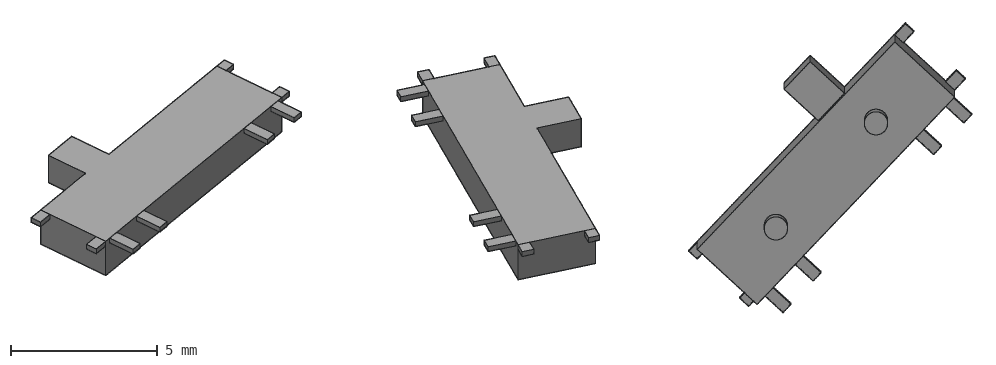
import cadquery as cq

overall_length = 10.8

housing_width = 2.8
housing_length = 9.85
housing_height = 1.5

knob_reach = 1.6
knob_width = 1.31
knob_height = 1.2
knob_y = -1.76

peg_diameter = 0.8
peg_height = 0.5
peg_y = 2.5

lead_thickness = 0.2
lead_width = 0.4

pin_reach = 1.0
inner_pin_y = 3.0
outer_pin_y = 4.5
pin_positions = [-outer_pin_y, -inner_pin_y, inner_pin_y, outer_pin_y]

front_tab_reach = 0.53
back_tab_reach = overall_length - housing_length - front_tab_reach
right_tab_width = 0.42

half_width = housing_width / 2
half_length = housing_length / 2


def block_below_top(x_min, y_min, x_size, y_size, height):
    """Box whose top face is flush with the housing top at Z = 0."""
    return (
        cq.Workplane("XY")
        .box(x_size, y_size, height, centered=False)
        .translate((x_min, y_min, -height))
    )


def make_housing():
    """Housing block with its actuator knob and two locating pegs."""
    block = block_below_top(-half_width, -half_length, housing_width, housing_length, housing_height)
    knob = block_below_top(
        -half_width - knob_reach, knob_y - knob_width / 2, knob_reach, knob_width, knob_height
    )
    pegs = (
        cq.Workplane("XY")
        .workplane(offset=-housing_height)
        .pushPoints([(0, -peg_y), (0, peg_y)])
        .circle(peg_diameter / 2)
        .extrude(-peg_height)
    )
    return block.union(knob).union(pegs)


def make_contact_pin(y_center):
    """Contact pin butting against the +X side of the housing."""
    return block_below_top(half_width, y_center - lead_width / 2, pin_reach, lead_width, lead_thickness)


def make_mounting_tab(x_min, width, y_min, reach):
    """Mounting tab butting against an end of the housing."""
    return block_below_top(x_min, y_min, width, reach, lead_thickness)


housing = make_housing()
contact_pins = [make_contact_pin(y) for y in pin_positions]

mounting_tabs = []
for x_min, width in [(-half_width, lead_width), (half_width - right_tab_width, right_tab_width)]:
    for y_min, reach in [(-half_length - front_tab_reach, front_tab_reach), (half_length, back_tab_reach)]:
        mounting_tabs.append(make_mounting_tab(x_min, width, y_min, reach))

result = cq.Compound.makeCompound(
    [
        housing.val(),
        *[pin.val() for pin in contact_pins],
        *[tab.val() for tab in mounting_tabs],
    ]
)